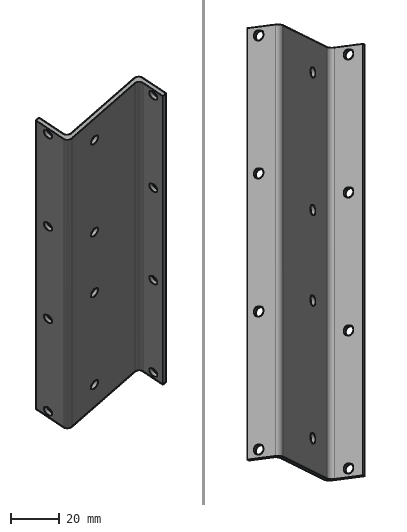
import cadquery as cq

length = 185.5
width = 31.2
depth = 46.7
thickness = 2.0
bend_radius = 2.5
web_offset = 1.1
hole_diameter = 4.5
flange_hole_pitch = 59.3
flange_hole_count = 4
flange_hole_bottom = 3.7
front_hole_x = -8.9
back_hole_x = 10.2
web_hole_y = -6.5
web_hole_heights = [14.3, 73.5, 112.4, 171.5]

web_left = web_offset - thickness / 2
web_right = web_left + thickness
front = -depth / 2
back = depth / 2


def box_between(x_min, x_max, y_min, y_max):
    """Full-length plate covering the given X and Y ranges."""
    plate = cq.Workplane("XY").rect(x_max - x_min, y_max - y_min).extrude(length)
    return plate.translate(((x_min + x_max) / 2, (y_min + y_max) / 2, 0))


def bent_sheet():
    """Z section: front flange to -X, web along Y, back flange to +X."""
    web = box_between(web_left, web_right, front, back)
    front_flange = box_between(-width / 2, web_right, front, front + thickness)
    back_flange = box_between(web_left, width / 2, back - thickness, back)
    sheet = web.union(front_flange).union(back_flange)
    for x, y in [
        (web_right, front),
        (web_left, front + thickness),
        (web_left, back),
        (web_right, back - thickness),
    ]:
        corner = cq.selectors.NearestToPointSelector((x, y, length / 2))
        sheet = sheet.edges("|Z").edges(corner).fillet(bend_radius)
    return sheet


def flange_drills():
    """Drills along Y, a row through each flange."""
    points = [
        (x, flange_hole_bottom + i * flange_hole_pitch)
        for x in (front_hole_x, back_hole_x)
        for i in range(flange_hole_count)
    ]
    drills = cq.Workplane("XZ").pushPoints(points).circle(hole_diameter / 2)
    return drills.extrude(depth, both=True)


def web_drills():
    """Drills along X through the web."""
    points = [(web_hole_y, z) for z in web_hole_heights]
    drills = cq.Workplane("YZ").pushPoints(points).circle(hole_diameter / 2)
    return drills.extrude(width, both=True)


result = bent_sheet().cut(flange_drills()).cut(web_drills())